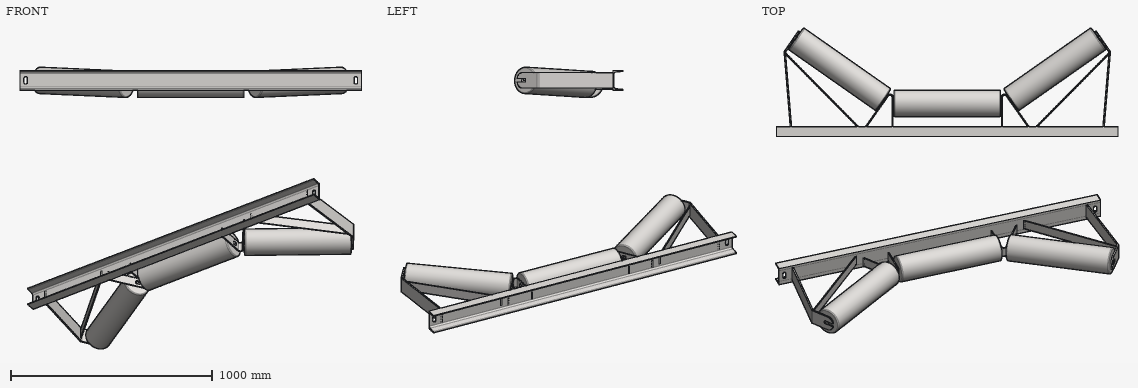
import cadquery as cq
import math


channel_length = 1700.0
channel_height = 100.0
channel_depth = 50.0
web_thickness = 6.0
flange_thickness = 8.0
flange_taper = 0.08
channel_root_radius = 8.0
channel_tip_radius = 4.0
slot_length = 36.0
slot_width = 16.0
slot_end_distance = 29.0

roller_diameter = 133.0
roller_length = 530.0
roller_rim_radius = 5.0
shaft_diameter = 24.0
shaft_flat_width = 17.0
trough_angle = 35.0
forward_tilt = 2.11
outer_end_x = -752.0
outer_end_y = 487.2
center_roller_y = 165.0

outer_strip_thickness = 8.0
inner_strip_thickness = 6.0
brace_thickness = 6.0
strip_width = 78.0
inner_strip_width = 50.0
brace_width = 50.0
end_clearance = 4.0
outer_bend_drop = 86.0
outer_bend_radius = 8.0
outer_leg_lean = 4.7
outer_tip_length = 125.0
outer_tip_corner_radius = 30.0
inner_bend_radius = 10.0
brace_drop = 5.0
brace_foot_x = -445.0

cos_trough = math.cos(math.radians(trough_angle))
sin_trough = math.sin(math.radians(trough_angle))
cos_tilt = math.cos(math.radians(forward_tilt))
sin_tilt = math.sin(math.radians(forward_tilt))
wing_axis = cq.Vector(cos_trough * cos_tilt, -sin_trough * cos_tilt, -sin_tilt)
wing_up = cq.Vector(sin_trough, cos_trough, 0)
center_roller_z = -roller_length * sin_tilt

wing_plane = cq.Plane(origin=(outer_end_x, outer_end_y, 0), xDir=wing_up, normal=wing_axis)
center_plane = cq.Plane(
    origin=(-roller_length / 2, center_roller_y, center_roller_z), xDir=(0, 1, 0), normal=(1, 0, 0)
)
outer_reach = end_clearance + outer_strip_thickness
inner_reach = end_clearance + inner_strip_thickness


def wing_plan_point(along, up):
    """Plan point at a distance along the left wing roller axis and at right angles to it."""
    return (
        outer_end_x + along * cos_trough + up * sin_trough,
        outer_end_y - along * sin_trough + up * cos_trough,
    )


outer_mid = -end_clearance - outer_strip_thickness / 2
outer_bend = wing_plan_point(outer_mid, -outer_bend_drop)
outer_tip = wing_plan_point(outer_mid, outer_tip_length - outer_bend_drop)
lean_slope = math.tan(math.radians(outer_leg_lean))
outer_foot = (outer_bend[0] + outer_bend[1] * lean_slope, 0)

upright_x = -roller_length / 2 - end_clearance - inner_strip_thickness / 2
sloping_mid = roller_length * cos_tilt + end_clearance + inner_strip_thickness / 2
sloping_top = wing_plan_point(sloping_mid, 0)
inner_apex = (upright_x, sloping_top[1] + (upright_x - sloping_top[0]) * cos_trough / sin_trough)
inner_upright_foot = (upright_x, 0)
inner_sloping_foot = (sloping_top[0] - sloping_top[1] * sin_trough / cos_trough, 0)

brace_top = (outer_bend[0] + brace_drop * lean_slope, outer_bend[1] - brace_drop)
brace_slope = (brace_foot_x - brace_top[0]) / (brace_top[1] - channel_depth)
brace_end = (brace_foot_x + channel_depth * brace_slope, 0)


def strip(path, thickness, width):
    """Flat strip whose mid-line follows the plan path with mitred corners, centered on Z = 0."""
    directions = []
    for (x0, y0), (x1, y1) in zip(path, path[1:]):
        length = math.hypot(x1 - x0, y1 - y0)
        directions.append(((x1 - x0) / length, (y1 - y0) / length))
    sides = ([], [])
    for i, (x, y) in enumerate(path):
        before = directions[max(i - 1, 0)]
        after = directions[min(i, len(directions) - 1)]
        scale = thickness / 2 / (1 + before[0] * after[0] + before[1] * after[1])
        dx = -(before[1] + after[1]) * scale
        dy = (before[0] + after[0]) * scale
        sides[0].append((x + dx, y + dy))
        sides[1].append((x - dx, y - dy))
    outline = sides[0] + sides[1][::-1]
    return cq.Workplane("XY").polyline(outline).close().extrude(width / 2, both=True), sides


def round_bend(body, inner_corner, outer_corner, inner_radius, thickness):
    """Round both corners of a strip's bend about one center."""
    body = body.edges(cq.selectors.NearestToPointSelector((*inner_corner, 0))).fillet(inner_radius)
    corner = cq.selectors.NearestToPointSelector((*outer_corner, 0))
    return body.edges("|Z").edges(corner).fillet(inner_radius + thickness)


def above_channel(body):
    """Keep the part of a body that lies beyond the back face of the channel web."""
    keep = cq.Workplane("XY").box(2 * channel_length, channel_length, channel_length)
    return body.intersect(keep.translate((0, channel_depth + channel_length / 2, 0)))


def shaft_bar(plane, start_reach, end_reach):
    """Round bar with two flats that passes right through a roller and out of both ends."""
    length = start_reach + roller_length + end_reach
    base = cq.Workplane(plane).workplane(offset=-start_reach)
    flats = base.rect(2 * shaft_diameter, shaft_flat_width).extrude(length)
    return base.circle(shaft_diameter / 2).extrude(length).intersect(flats)


def make_channel():
    """Rolled channel with tapered flanges pointing to -Y and an upright slot near each end."""
    half_height = channel_height / 2
    web_face = channel_depth - web_thickness
    tip_z = half_height - flange_thickness + flange_taper * channel_depth / 2
    root_z = tip_z - flange_taper * web_face
    body = cq.Workplane("XY").box(channel_length, channel_depth, channel_height)
    body = body.translate((0, channel_depth / 2, 0))
    inside = (
        cq.Workplane("YZ")
        .polyline([(0, -tip_z), (web_face, -root_z), (web_face, root_z), (0, tip_z)])
        .close()
        .extrude(channel_length, both=True)
        .edges("|X and >Y")
        .fillet(channel_root_radius)
    )
    slot_x = channel_length / 2 - slot_end_distance
    slots = (
        cq.Workplane("XZ")
        .pushPoints([(-slot_x, 0), (slot_x, 0)])
        .slot2D(slot_length, slot_width, 90)
        .extrude(-2 * channel_depth)
    )
    body = body.cut(inside).cut(slots)
    inner_tip_edges = cq.selectors.BoxSelector(
        (-channel_length, -1, -tip_z - 1), (channel_length, 1, tip_z + 1)
    )
    return body.edges("|X").edges(inner_tip_edges).fillet(channel_tip_radius)


def make_roller(plane, start_reach, end_reach):
    """Roller shell with rounded rims, and its shaft ends reaching out past both rims."""
    shell = cq.Workplane(plane).circle(roller_diameter / 2).extrude(roller_length)
    shell = shell.edges("%CIRCLE").fillet(roller_rim_radius)
    return shell.union(shaft_bar(plane, start_reach, end_reach))


def make_outer_bracket():
    """Leaning leg bent inwards, with a rounded tip slotted open for the wing roller shaft."""
    body, (left, right) = strip([outer_foot, outer_bend, outer_tip], outer_strip_thickness, strip_width)
    body = round_bend(body, right[1], left[1], outer_bend_radius, outer_strip_thickness)
    across_tip = cq.selectors.ParallelDirSelector(cq.Vector(cos_trough, -sin_trough, 0))
    body = body.edges(across_tip).fillet(outer_tip_corner_radius)
    open_slot = (
        cq.Workplane(wing_plane)
        .center(outer_tip_length / 2, 0)
        .rect(outer_tip_length, shaft_flat_width)
        .extrude(2 * outer_reach, both=True)
    )
    return above_channel(body).cut(open_slot).cut(wing_shaft)


def make_inner_bracket():
    """Inverted V: an upright leg for the center roller and a sloping leg for the wing roller."""
    path = [inner_upright_foot, inner_apex, inner_sloping_foot]
    body, (left, right) = strip(path, inner_strip_thickness, inner_strip_width)
    body = round_bend(body, left[1], right[1], inner_bend_radius, inner_strip_thickness)
    body = body.translate((0, 0, center_roller_z))
    return above_channel(body).cut(center_shaft).cut(wing_shaft)


def make_brace(bracket):
    """Diagonal strip from just under the outer bend down to the channel."""
    body, _ = strip([brace_top, brace_end], brace_thickness, brace_width)
    trimmed = above_channel(body).cut(bracket)
    return trimmed.solids(">X")


wing_shaft = shaft_bar(wing_plane, outer_reach, inner_reach)
center_shaft = shaft_bar(center_plane, inner_reach, inner_reach)

channel = make_channel()
center_roller = make_roller(center_plane, inner_reach, inner_reach)
wing_roller = make_roller(wing_plane, outer_reach, inner_reach)
outer_bracket = make_outer_bracket()
inner_bracket = make_inner_bracket()
brace = make_brace(outer_bracket)

bodies = [channel.val(), center_roller.val()]
for left_body in (wing_roller, outer_bracket, inner_bracket, brace):
    bodies.append(left_body.val())
    bodies.append(left_body.mirror("YZ").val())

result = cq.Compound.makeCompound(bodies)